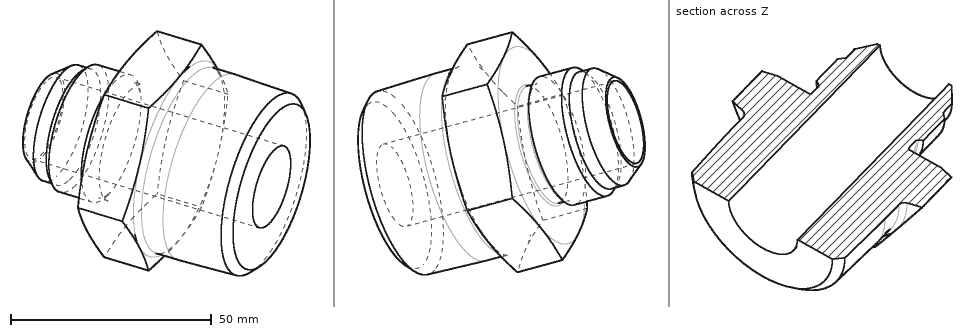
import cadquery as cq
import math

total_length = 63.5
bore_diameter = 21.3

seat_tip_radius = 11.55
seat_length = 4.75
neck_radius = 15.1
thread_radius = 16.6
thread_start = 8.3
thread_end = 18.8
runout_angle = math.radians(60)
groove_fillet = 0.5

hex_across_flats = 50.8
hex_start = 23.2
hex_end = 37.65
hex_chamfer_angle = math.radians(15)

collar_radius = 24.2
collar_fillet = 1.65
taper_start = 45.3
taper_end = 61.3
taper_ratio = 1 / 32
end_chamfer = total_length - taper_end

flat_radius = hex_across_flats / 2
corner_radius = flat_radius / math.cos(math.pi / 6)
thread_height = thread_radius - neck_radius
taper_end_radius = collar_radius - taper_ratio * (taper_end - taper_start)


def revolve_about_x(profile):
    return profile.close().revolve(360, (0, 0, 0), (1, 0, 0))


def tube_end():
    runout_end = thread_end + thread_height / math.tan(runout_angle)
    tangent_length = groove_fillet * math.tan(runout_angle / 2)
    fillet_start = runout_end - tangent_length * math.cos(runout_angle)
    fillet_start_radius = neck_radius + tangent_length * math.sin(runout_angle)
    neck_start = runout_end + tangent_length
    neck_end = hex_start - groove_fillet
    return revolve_about_x(
        cq.Workplane("XY")
        .lineTo(0, seat_tip_radius)
        .lineTo(seat_length, neck_radius)
        .lineTo(thread_start, neck_radius)
        .lineTo(thread_start + thread_height, thread_radius)
        .lineTo(thread_end, thread_radius)
        .lineTo(fillet_start, fillet_start_radius)
        .radiusArc((neck_start, neck_radius), -groove_fillet)
        .lineTo(neck_end, neck_radius)
        .radiusArc((hex_start, neck_radius + groove_fillet), -groove_fillet)
        .lineTo(hex_start, 0)
    )


def hexagon():
    """Hexagon with flats facing +Z and -Z and conically chamfered corners."""
    width = hex_end - hex_start
    prism = (
        cq.Workplane("YZ", origin=(hex_start, 0, 0))
        .polygon(6, 2 * corner_radius)
        .extrude(width)
    )
    chamfer_depth = (corner_radius - flat_radius) * math.tan(hex_chamfer_angle)
    envelope = revolve_about_x(
        cq.Workplane("XY")
        .moveTo(hex_start, 0)
        .lineTo(hex_start, flat_radius)
        .lineTo(hex_start + chamfer_depth, corner_radius)
        .lineTo(hex_end - chamfer_depth, corner_radius)
        .lineTo(hex_end, flat_radius)
        .lineTo(hex_end, 0)
    )
    return prism.intersect(envelope)


def taper_thread_end():
    fillet_end = hex_end + collar_fillet
    return revolve_about_x(
        cq.Workplane("XY")
        .moveTo(hex_end, 0)
        .lineTo(hex_end, flat_radius)
        .radiusArc((fillet_end, collar_radius), -collar_fillet)
        .lineTo(taper_start, collar_radius)
        .lineTo(taper_end, taper_end_radius)
        .lineTo(total_length, taper_end_radius - end_chamfer)
        .lineTo(total_length, 0)
    )


bore = cq.Workplane("YZ").circle(bore_diameter / 2).extrude(total_length)

result = tube_end().union(hexagon()).union(taper_thread_end()).cut(bore)